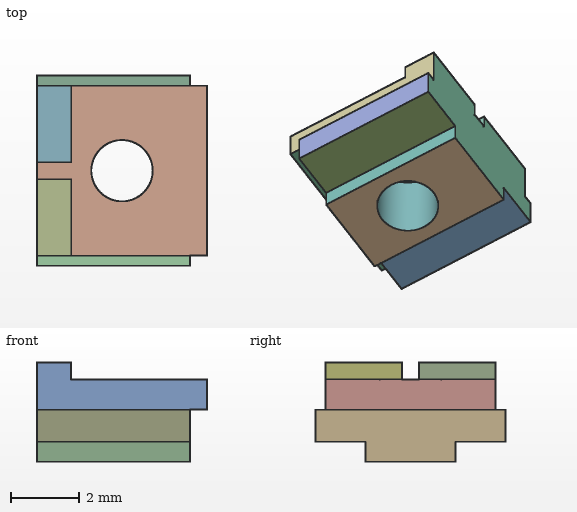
import cadquery as cq

body_length = 5.0
body_width = 5.6
body_height = 2.93

foot_width = 2.655
foot_height = 0.595
middle_height = 0.945
lower_length = 4.5
plate_width = body_length

lip_length = 1.0
lip_height = 0.5
slot_width = 0.5

hole_diameter = 1.8

plate_bottom = foot_height + middle_height
plate_top = body_height - lip_height


def layer(length, width, bottom, top):
    """Block flush with the -X face and centred on Y."""
    return (
        cq.Workplane("XY")
        .box(length, width, top - bottom, centered=(False, True, False))
        .translate((0, 0, bottom))
    )


foot = layer(lower_length, foot_width, 0, foot_height)
middle = layer(lower_length, body_width, foot_height, plate_bottom)
plate = layer(body_length, plate_width, plate_bottom, plate_top)
lip = layer(lip_length, plate_width, plate_top, body_height)
lip_slot = layer(lip_length, slot_width, plate_top, body_height)

hole = (
    cq.Workplane("XY")
    .center(body_length / 2, 0)
    .circle(hole_diameter / 2)
    .extrude(body_height)
)

result = foot.union(middle).union(plate).union(lip.cut(lip_slot)).cut(hole)